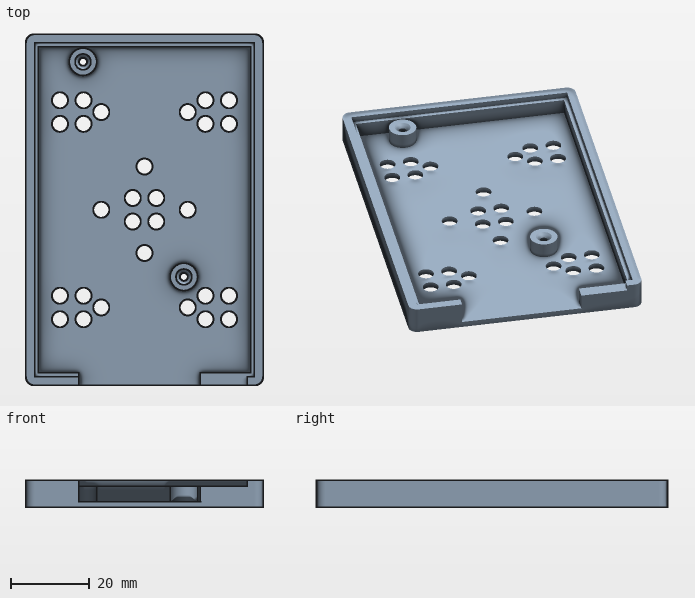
import cadquery as cq

length_x = 60.5
length_y = 89.5
height = 7.0
corner_radius = 2.2
wall = 3.2
floor = 1.5

rim_wall = 2.2
rim_depth = 1.5
ledge_z = height - rim_depth

opening_left = -16.7
opening_right = 14.2
upper_opening_right = 26.1

post_diameter = 7.0
post_centers = [(-15.7, 37.7), (10.0, -17.1)]
screw_mouth_diameter = 4.0
screw_diameter = 2.0
countersink_depth = 1.0

vent_diameter = 4.0
vent_pitch = 6.0
group_x = 18.5
group_y = 24.9
single_vent_offset = 11.0


def block(x_min, x_max, y_min, y_max, z_min, z_max):
    """Axis-aligned box given by its limits."""
    size = (x_max - x_min, y_max - y_min, z_max - z_min)
    return cq.Workplane("XY").box(*size, centered=False).translate((x_min, y_min, z_min))


def recess(side_wall, z_bottom):
    """Rectangular cavity from z_bottom to the rim, leaving side_wall all round."""
    half_x = length_x / 2 - side_wall
    half_y = length_y / 2 - side_wall
    return block(-half_x, half_x, -half_y, half_y, z_bottom, height)


def tray():
    """Rounded tray with a stepped rim."""
    body = cq.Workplane("XY").box(length_x, length_y, height, centered=(True, True, False))
    body = body.edges("|Z").fillet(corner_radius)
    return body.cut(recess(wall, floor)).cut(recess(rim_wall, ledge_z))


def wall_opening():
    """Stepped opening through the -Y wall."""
    outer_y = -length_y / 2
    inner_y = outer_y + wall
    lower = block(opening_left, opening_right, outer_y, inner_y, floor, height)
    upper = block(opening_left, upper_opening_right, outer_y, inner_y, ledge_z, height)
    return lower.union(upper)


def posts():
    """Screw posts rising from the floor to the ledge level."""
    plane = cq.Workplane("XY").workplane(offset=floor).pushPoints(post_centers)
    return plane.circle(post_diameter / 2).extrude(ledge_z - floor)


def screw_holes():
    """Countersunk holes through the posts and the floor."""
    plane = cq.Workplane("XY").pushPoints(post_centers)
    bores = plane.circle(screw_diameter / 2).extrude(ledge_z)
    cone = cq.Solid.makeCone(screw_diameter / 2, screw_mouth_diameter / 2, countersink_depth)
    for x, y in post_centers:
        bores = bores.union(cq.Workplane(cone.translate(cq.Vector(x, y, ledge_z - countersink_depth))))
    return bores


def vent_group(center_x, center_y):
    """Centres of a square group of four vents."""
    half = vent_pitch / 2
    return [(center_x + sx * half, center_y + sy * half) for sx in (-1, 1) for sy in (-1, 1)]


def vent_centers():
    """Centres of all vents: one central group and one near each corner."""
    points = vent_group(0, 0)
    for side in (-1, 1):
        points.append((0, side * single_vent_offset))
        points.append((side * single_vent_offset, 0))
        for end in (-1, 1):
            points += vent_group(side * group_x, end * group_y)
            points.append((side * single_vent_offset, end * group_y))
    return points


vents = cq.Workplane("XY").pushPoints(vent_centers()).circle(vent_diameter / 2).extrude(floor)

result = tray().cut(wall_opening()).union(posts()).cut(vents).cut(screw_holes())